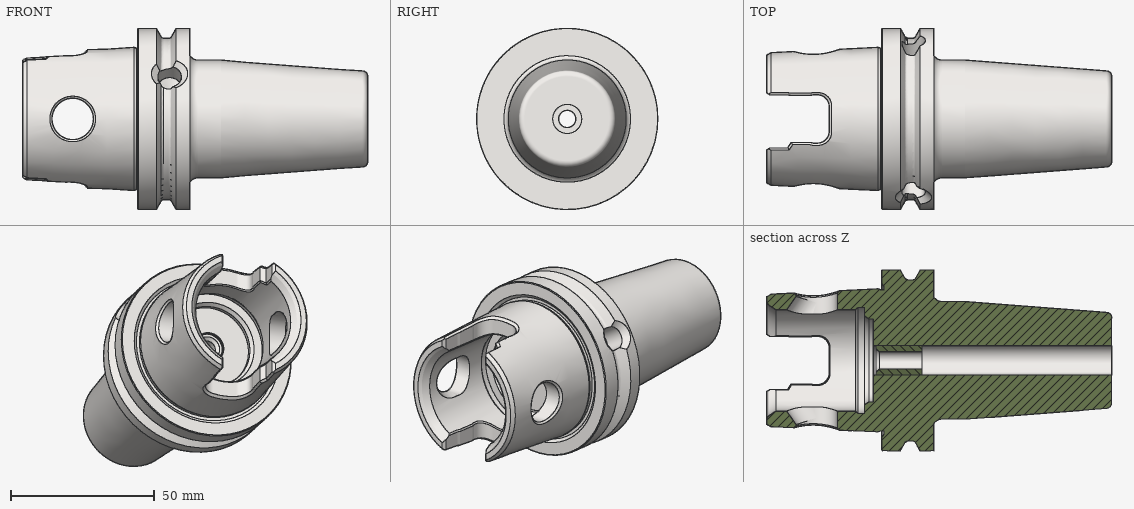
import cadquery as cq
import math


shank_length = 39.95
shank_front = -shank_length
shank_front_radius = 23.0
taper_per_length = 0.05
shank_tip_chamfer_length = 1.5
shank_tip_chamfer_depth = 0.8
neck_length = 1.25
neck_shoulder_length = 0.8
neck_shoulder_radius = 24.75
neck_floor_length = 0.4
neck_radius = 24.6
taper_end = -neck_length


def taper_radius(x):
    """Outer radius of the shank taper at position x."""
    return shank_front_radius + taper_per_length * (x - shank_front)


flange_radius = 31.5
flange_width = 18.2
flange_edge_chamfer = 0.3
face_relief_depth = 0.8
face_relief_inner_radius = 25.7
face_relief_outer_radius = 26.8

groove_center = 9.95
groove_half_width = 3.43
groove_floor_radius = 28.1
groove_flank_angle = 30
groove_fillet = 1.0

side_hole_x = 11.1
side_hole_elevation = 30
side_hole_radius = 4.1
side_hole_floor_radius = 21.6
drill_point_angle = 118
countersink_radius = 6.3
countersink_depth = countersink_radius - side_hole_radius

nose_end = 80.0
nose_radius = 20.5
nose_root_fillet = 3.4
nose_root_rise = 1.5
nose_taper_start = 29.1
nose_tip_radius = 16.6
nose_tip_round = 2.0

bore_radius = 17.6
bore_mouth_radius = 20.2
bore_step_radius = 19.1
bore_mouth_chamfer = 0.9
bore_lead_length = 3.2
bore_depth = 34.0
bore_relief_radius = 18.4
bore_relief_length = 3.2
bore_relief_slope = 1.0
floor_recess_radius = 14.4
floor_recess_chamfer = 1.0
floor_recess_chamfer_length = 1.5
floor_recess_depth = 3.0

slot_half_width = 8.1
slot_mouth_half_width = 8.3
slot_wide_mouth_half_width = 10.0
slot_depth = 21.7
slot_corner_radius = 4.0
slot_mouth_length = 7.3
slot_ramp_end = 8.5
slot_relief_start = 15.2
slot_relief_full = 16.2
slot_relief_depth = 0.25
slot_entry_length = 1.2
slot_entry_flare = 0.8
slot_outer_chamfer = 0.9
slot_inner_chamfer = 0.4

ball_hole_x = shank_front + 17.4
ball_hole_radius = 7.15
ball_hole_chamfer = 0.8
ball_track_tilt = 35
ball_track_pivot_radius = 20.0
ball_track_length = 10.0

screw_radius = 5.05
screw_hole_chamfer = 0.25
screw_length = 16.0
screw_recess = 1.0
screw_bore_radius = 2.95
screw_countersink_radius = 4.1

bore_floor = shank_front + bore_depth
recess_floor = bore_floor + floor_recess_depth


def turn(profile):
    """Revolve a closed XY profile (X along the axis, Y as radius) about the X axis."""
    return profile.close().revolve(360, (0, 0, 0), (1, 0, 0))


def make_outer_body():
    """Solid of revolution for the shank, flange and nose, before any hole is cut."""
    root_run = math.sqrt(nose_root_fillet**2 - (nose_root_fillet - nose_root_rise)**2)
    root_end = flange_width + root_run
    root_center_y = nose_radius + nose_root_fillet
    mid_angle = math.radians(270) - math.asin(root_run / nose_root_fillet) / 2
    root_mid = (
        root_end + nose_root_fillet * math.cos(mid_angle),
        root_center_y + nose_root_fillet * math.sin(mid_angle),
    )
    profile = (
        cq.Workplane("XY")
        .moveTo(shank_front, 0)
        .lineTo(shank_front, taper_radius(shank_front))
        .lineTo(taper_end, taper_radius(taper_end))
        .lineTo(-neck_shoulder_length, neck_shoulder_radius)
        .lineTo(-neck_floor_length, neck_radius)
        .lineTo(face_relief_depth, neck_radius)
        .lineTo(face_relief_depth, face_relief_inner_radius)
        .lineTo(0, face_relief_outer_radius)
        .lineTo(0, flange_radius - flange_edge_chamfer)
        .lineTo(flange_edge_chamfer, flange_radius)
        .lineTo(flange_width, flange_radius)
        .lineTo(flange_width, nose_radius + nose_root_rise)
        .threePointArc(root_mid, (root_end, nose_radius))
        .lineTo(nose_taper_start, nose_radius)
        .lineTo(nose_end, nose_tip_radius)
        .lineTo(nose_end, 0)
    )
    return turn(profile).edges(">X").fillet(nose_tip_round)


def make_gripper_groove():
    """Ring with a rounded V section that leaves the gripper groove in the flange rim."""
    depth = flange_radius - groove_floor_radius
    floor_half_width = groove_half_width - depth * math.tan(math.radians(groove_flank_angle))
    rim_radius = flange_radius + depth
    rim_half_width = 2 * groove_half_width - floor_half_width
    section = (
        cq.Sketch()
        .polygon([
            (-floor_half_width, groove_floor_radius),
            (floor_half_width, groove_floor_radius),
            (rim_half_width, rim_radius),
            (-rim_half_width, rim_radius),
            (-floor_half_width, groove_floor_radius),
        ])
        .vertices("<Y")
        .fillet(groove_fillet)
    )
    return (
        cq.Workplane("XY", origin=(groove_center, 0, 0))
        .placeSketch(section)
        .revolve(360, (0, 0, 0), (1, 0, 0))
    )


def make_side_hole(side, countersunk):
    """Radial drilled hole in the flange, raised above the horizontal on the given Y side."""
    elevation = math.radians(side_hole_elevation)
    outward = cq.Vector(0, side * math.cos(elevation), math.sin(elevation))
    inward = outward * -1
    center = cq.Vector(side_hole_x, 0, 0)
    point_length = side_hole_radius / math.tan(math.radians(drill_point_angle / 2))
    floor_center = center + outward * side_hole_floor_radius
    shaft = cq.Solid.makeCylinder(side_hole_radius, flange_radius, floor_center, outward)
    point = cq.Solid.makeCone(side_hole_radius, 0, point_length, floor_center, inward)
    hole = cq.Workplane(obj=shaft).union(cq.Workplane(obj=point))
    if countersunk:
        mouth_center = center + outward * flange_radius
        cone = cq.Solid.makeCone(
            2 * countersink_radius - side_hole_radius,
            side_hole_radius,
            2 * countersink_depth,
            mouth_center + outward * countersink_depth,
            inward,
        )
        hole = hole.union(cq.Workplane(obj=cone))
    return hole


def make_bore():
    """Straight shank bore ending in a recessed floor, with the screw hole running on to the nose."""
    profile = (
        cq.Workplane("XY")
        .moveTo(shank_front, 0)
        .lineTo(shank_front, bore_radius)
        .lineTo(bore_floor - bore_relief_length, bore_radius)
        .lineTo(bore_floor - bore_relief_length + bore_relief_slope, bore_relief_radius)
        .lineTo(bore_floor, bore_relief_radius)
        .lineTo(bore_floor, floor_recess_radius + floor_recess_chamfer)
        .lineTo(bore_floor + floor_recess_chamfer_length, floor_recess_radius)
        .lineTo(recess_floor, floor_recess_radius)
        .lineTo(recess_floor, screw_radius + screw_hole_chamfer)
        .lineTo(recess_floor + screw_hole_chamfer, screw_radius)
        .lineTo(nose_end, screw_radius)
        .lineTo(nose_end, 0)
    )
    return turn(profile)


def slot_wall(mouth_half_width):
    """Points of one slot wall from the mouth to the slot end, as (X, distance from the axis)."""
    relief_half_width = slot_half_width + slot_relief_depth
    return [
        (shank_front, mouth_half_width),
        (shank_front + slot_mouth_length, mouth_half_width),
        (shank_front + slot_ramp_end, slot_half_width),
        (shank_front + slot_relief_start, slot_half_width),
        (shank_front + slot_relief_full, relief_half_width),
        (shank_front + slot_depth, relief_half_width),
    ]


def make_mouth_cut():
    """Ring that bevels the outside of the shank tip and opens the bore mouth in two cones."""
    tip_bevel_end = shank_front + shank_tip_chamfer_length
    tip_bevel = (
        cq.Workplane("XY")
        .moveTo(shank_front, taper_radius(shank_front) - shank_tip_chamfer_depth)
        .lineTo(tip_bevel_end, taper_radius(tip_bevel_end))
        .lineTo(tip_bevel_end, flange_radius)
        .lineTo(shank_front, flange_radius)
    )
    bore_lead = (
        cq.Workplane("XY")
        .moveTo(shank_front, 0)
        .lineTo(shank_front, bore_mouth_radius)
        .lineTo(shank_front + bore_mouth_chamfer, bore_step_radius)
        .lineTo(shank_front + bore_lead_length, bore_radius)
        .lineTo(shank_front + bore_lead_length, 0)
    )
    return turn(tip_bevel).union(turn(bore_lead))


def make_slot_entry():
    """Bevel that flares both drive slots at the face of the shank."""
    entry_end = shank_front + slot_entry_length
    return (
        cq.Workplane("XY", origin=(0, 0, -flange_radius))
        .moveTo(shank_front, slot_mouth_half_width + slot_entry_flare)
        .lineTo(entry_end, slot_mouth_half_width)
        .lineTo(entry_end, -slot_wide_mouth_half_width)
        .lineTo(shank_front, -slot_wide_mouth_half_width - slot_entry_flare)
        .close()
        .extrude(2 * flange_radius)
    )


def make_drive_slots():
    """Slot through both walls of the shank; the -Y side is wider near the mouth."""
    upper_wall = slot_wall(slot_mouth_half_width)
    lower_wall = [(x, -y) for x, y in slot_wall(slot_wide_mouth_half_width)]
    return (
        cq.Workplane("XY", origin=(0, 0, -flange_radius))
        .polyline(upper_wall + lower_wall[::-1])
        .close()
        .extrude(2 * flange_radius)
        .edges("|Z and >X")
        .fillet(slot_corner_radius)
    )


def make_ball_holes():
    """Cross hole along Y that pierces both walls of the shank."""
    return (
        cq.Workplane("XZ", origin=(ball_hole_x, flange_radius, 0))
        .circle(ball_hole_radius)
        .extrude(2 * flange_radius)
    )


def make_ball_track(side):
    """Slanted run of a ball hole, leaning toward the shank mouth as it nears the bore."""
    tilt = math.radians(ball_track_tilt)
    pivot = cq.Vector(ball_hole_x, side * ball_track_pivot_radius, 0)
    inward = cq.Vector(-math.sin(tilt), -side * math.cos(tilt), 0)
    track = cq.Solid.makeCylinder(ball_hole_radius, ball_track_length, pivot, inward)
    return cq.Workplane(obj=track)


def is_slot_rim(edge, radius_at):
    """True for a drive slot edge lying on the turned surface whose radius is radius_at(x)."""
    tolerance = 0.01
    points = (edge.startPoint(), edge.positionAt(0.5), edge.endPoint())
    on_surface = all(abs(math.hypot(p.y, p.z) - radius_at(p.x)) < tolerance for p in points)
    center = edge.Center()
    inside_slot = abs(center.y) < slot_wide_mouth_half_width + tolerance
    behind_face = center.x > shank_front + tolerance
    before_end = center.x < shank_front + slot_depth + tolerance
    return on_surface and inside_slot and behind_face and before_end


def is_hole_rim(edge):
    """True for an edge of a ball hole on the outside of the shank."""
    center = edge.Center()
    near_hole = abs(center.x - ball_hole_x) < ball_hole_radius
    return near_hole and edge.geomType() == "BSPLINE" and abs(center.y) > slot_wide_mouth_half_width


def make_holder():
    body = make_outer_body().cut(make_ball_holes())
    hole_rims = body.edges().filter(is_hole_rim).vals()
    body = body.newObject(hole_rims).chamfer(ball_hole_chamfer)
    body = body.cut(make_drive_slots())
    outer_rims = body.edges().filter(lambda edge: is_slot_rim(edge, taper_radius)).vals()
    body = body.newObject(outer_rims).chamfer(slot_outer_chamfer)
    body = body.cut(make_bore())
    inner_rims = body.edges().filter(lambda edge: is_slot_rim(edge, lambda x: bore_radius)).vals()
    body = body.newObject(inner_rims).chamfer(slot_inner_chamfer)
    body = body.cut(make_mouth_cut()).cut(make_slot_entry())
    for side in (-1, 1):
        body = body.cut(make_ball_track(side))
    body = body.cut(make_gripper_groove())
    body = body.cut(make_side_hole(-1, True)).cut(make_side_hole(1, False))
    return body


def make_stop_screw():
    """Hollow screw filling the start of the screw hole, with a countersunk coolant bore."""
    start = recess_floor + screw_recess
    end = start + screw_length
    countersink_end = start + screw_countersink_radius - screw_bore_radius
    profile = (
        cq.Workplane("XY")
        .moveTo(start, screw_countersink_radius)
        .lineTo(start, screw_radius)
        .lineTo(end, screw_radius)
        .lineTo(end, screw_bore_radius)
        .lineTo(countersink_end, screw_bore_radius)
    )
    return turn(profile)


holder = make_holder().solids()
stop_screw = make_stop_screw().solids()
result = cq.Compound.makeCompound([holder.val(), stop_screw.val()])